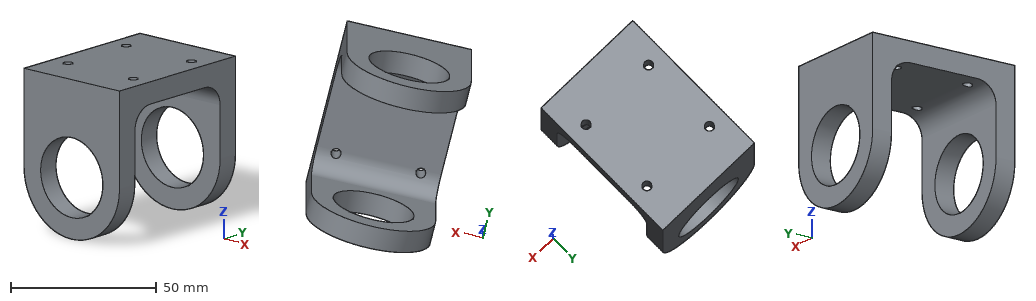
import cadquery as cq

length = 60.0
width = 44.0
thickness = 8.0
bore_drop = 35.0
bore_diameter = 28.55
corner_radius = 8.0
hole_diameter = 3.35
hole_spacing = 30.0

end_radius = width / 2
plate_underside = bore_drop - thickness
leg_gap = length - 2 * thickness


def rounded_block():
    """Full-length block with flat sides and a half-round bottom."""
    return (
        cq.Workplane("XZ")
        .moveTo(-end_radius, bore_drop)
        .lineTo(-end_radius, 0)
        .threePointArc((0, -end_radius), (end_radius, 0))
        .lineTo(end_radius, bore_drop)
        .close()
        .extrude(length / 2, both=True)
    )


def leg_opening():
    """Space between the legs, rounded where it meets the plate."""
    height = plate_underside + end_radius
    return (
        cq.Workplane("XY")
        .box(width, leg_gap, height, centered=(True, True, False))
        .translate((0, 0, -end_radius))
        .edges("|X and >Z")
        .fillet(corner_radius)
    )


def leg_bores():
    """Cylinder that cuts the aligned bores in both legs."""
    return cq.Workplane("XZ").circle(bore_diameter / 2).extrude(length / 2, both=True)


def mounting_holes():
    """Four holes through the plate and the rounded corners just below it."""
    corner_bottom = plate_underside - corner_radius
    return (
        cq.Workplane("XY")
        .workplane(offset=corner_bottom)
        .rect(hole_spacing, hole_spacing, forConstruction=True)
        .vertices()
        .circle(hole_diameter / 2)
        .extrude(bore_drop - corner_bottom)
    )


result = rounded_block().cut(leg_opening()).cut(leg_bores()).cut(mounting_holes())